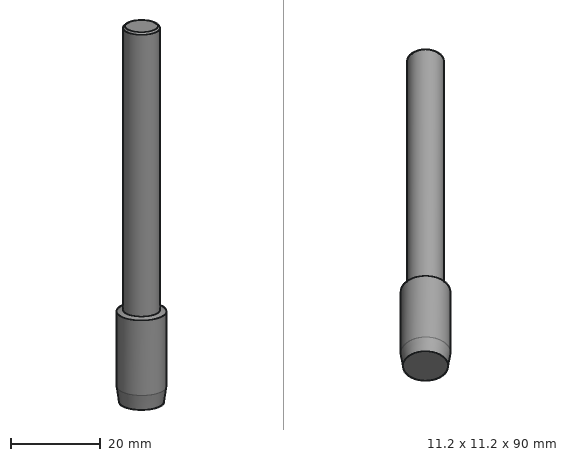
import cadquery as cq

total_height = 90.0
rod_diameter = 8.3
rod_chamfer = 0.45
tip_diameter = 11.2
tip_end_diameter = 10.1
taper_height = 3.8
shoulder_height = 21.7
crown_height = 0.4

rod_radius = rod_diameter / 2
tip_radius = tip_diameter / 2
tip_end_radius = tip_end_diameter / 2
tip_height = shoulder_height + crown_height
rod_length = total_height - tip_height


def make_tip():
    """Thick end piece: tapered foot, cylinder and shallow conical crown."""
    half_profile = (
        cq.Workplane("XZ")
        .moveTo(0, 0)
        .lineTo(tip_end_radius, 0)
        .lineTo(tip_radius, taper_height)
        .lineTo(tip_radius, shoulder_height)
        .lineTo(rod_radius, tip_height)
        .lineTo(0, tip_height)
        .close()
    )
    return half_profile.revolve(360, (0, 0, 0), (0, 1, 0))


def make_rod():
    """Plain rod standing on the flat of the crown, chamfered at its free end."""
    return (
        cq.Workplane("XY")
        .workplane(offset=tip_height)
        .circle(rod_radius)
        .extrude(rod_length)
        .faces(">Z")
        .chamfer(rod_chamfer)
    )


tip = make_tip()
rod = make_rod()

result = cq.Compound.makeCompound([tip.val(), rod.val()])